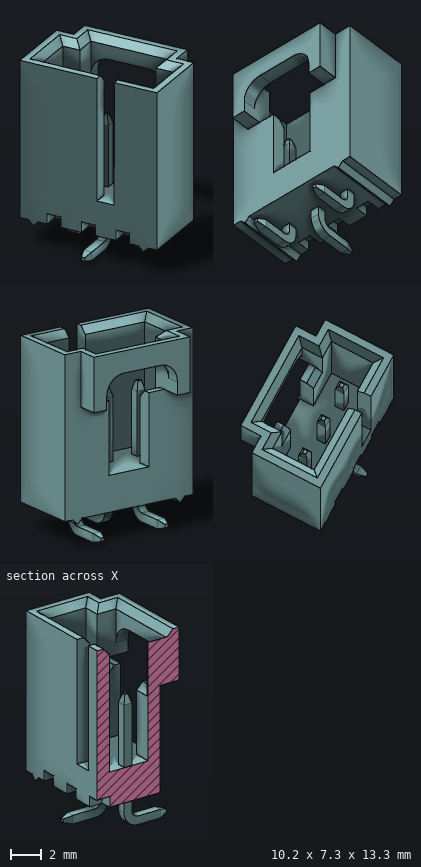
import cadquery as cq


total_height = 13.26
body_width = 10.16
pitch = body_width / 4
body_depth = 2 * pitch
body_bottom = 1.83
floor_top = body_bottom + pitch
wall = 1.01
lead_in = wall / 2
body_front = -body_depth / 2
body_back = body_depth / 2

key_width = 3 * pitch
key_depth = 1.5
key_height = 1.5 * pitch
key_bottom = total_height - key_height
key_back = body_back + key_depth
key_inner_width = key_width - 2 * wall
key_window_top = total_height - 1.52
key_window_radius = 1.38

slot_width = pitch / 2
slot_center = pitch / 2
back_window_width = 3.15

notch_width = 1.01
notch_height = 0.75
notch_depth = 1.01
ridge_height = 0.37
ridge_x = body_width / 2 - wall

pin_size = 0.64
pin_tip_size = 0.27
pin_taper = 0.64
pin_top = key_bottom
total_depth = 7.3
tail_reach = 3.22
pin_row_y = key_back - total_depth + tail_reach
bend_inner_radius = 0.5
bend_radius = bend_inner_radius + pin_size / 2
pin_positions = [(-pitch, 1), (0, -1), (pitch, 1)]


def box(width, y_start, y_end, z_start, z_end, x_center=0):
    """Block centred on x_center, given by its Y and Z limits."""
    return (
        cq.Workplane("XY")
        .box(width, y_end - y_start, z_end - z_start, centered=(True, False, False))
        .translate((x_center, y_start, z_start))
    )


def make_bevelled_pocket(width, y_start, y_end, z_bottom):
    """Rectangular pocket from z_bottom to the top, flared at 45 degrees to the rim."""
    pocket = box(width, y_start, y_end, z_bottom, total_height)
    flare = (
        cq.Workplane("XY", origin=(0, (y_start + y_end) / 2, total_height))
        .rect(width + 2 * lead_in, y_end - y_start + 2 * lead_in)
        .extrude(-lead_in, taper=45)
    )
    return pocket.union(flare)


def make_cavity():
    """Main pocket joined to the pocket inside the key."""
    main_width = body_width - 2 * wall
    main = make_bevelled_pocket(main_width, body_front + wall, body_back - wall, floor_top)
    key = make_bevelled_pocket(key_inner_width, 0, key_back - wall, key_bottom)
    return main.union(key)


def make_key_window():
    """Opening through the key's back wall, with its two upper corners rounded."""
    return (
        box(key_inner_width, key_back - wall, key_back, key_bottom, key_window_top)
        .edges("|Y and >Z")
        .fillet(key_window_radius)
    )


def make_back_wall_bevel():
    """Bevel on the inner edge of the back wall where it stops at the key's lower end."""
    inner_face = body_back - wall
    return (
        cq.Workplane("YZ")
        .polyline([
            (inner_face, key_bottom - lead_in),
            (inner_face + lead_in, key_bottom),
            (inner_face, key_bottom),
        ])
        .close()
        .extrude(key_inner_width / 2, both=True)
    )


def make_ridge(x):
    """V-shaped foot running the full depth of the underside."""
    return (
        cq.Workplane("XZ", origin=(x, body_back, body_bottom))
        .polyline([(-ridge_height, 0), (0, -ridge_height), (ridge_height, 0)])
        .close()
        .extrude(body_depth)
    )


def make_housing():
    housing = box(body_width, body_front, body_back, body_bottom, total_height)
    housing = housing.union(box(key_width, body_back, key_back, key_bottom, total_height))
    housing = housing.cut(make_cavity())
    housing = housing.cut(make_key_window())
    housing = housing.cut(make_back_wall_bevel())
    housing = housing.cut(
        box(slot_width, body_front, body_front + wall, floor_top, total_height, slot_center)
    )
    housing = housing.cut(box(back_window_width, body_back - wall, body_back, floor_top, key_bottom))
    for x, _ in pin_positions:
        housing = housing.cut(
            box(notch_width, body_front, body_front + notch_depth,
                body_bottom, body_bottom + notch_height, x)
        )
    for x in (-ridge_x, ridge_x):
        housing = housing.union(make_ridge(x))
    return housing


def make_tip(base_plane):
    """Four-sided taper that ends a pin, standing on base_plane."""
    return (
        cq.Workplane(base_plane)
        .rect(pin_size, pin_size)
        .workplane(offset=pin_taper)
        .rect(pin_tip_size, pin_tip_size)
        .loft()
    )


def make_pin(x, side):
    """Square pin, bent below the housing into a tail that points to the given side in Y."""
    shank_top = pin_top - pin_taper
    tail_z = pin_size / 2
    tail_end = side * (tail_reach - pin_taper)
    shank_bottom = tail_z + bend_radius

    shank = box(pin_size, -pin_size / 2, pin_size / 2, shank_bottom, shank_top)
    bend = (
        cq.Workplane("XY", origin=(0, 0, shank_bottom))
        .rect(pin_size, pin_size)
        .revolve(90, (0, side * bend_radius), (side, side * bend_radius))
    )
    tail_limits = sorted((side * bend_radius, tail_end))
    tail = box(pin_size, *tail_limits, 0, pin_size)
    top_tip = make_tip(cq.Plane((0, 0, shank_top)))
    tail_tip = make_tip(cq.Plane((0, tail_end, tail_z), xDir=(1, 0, 0), normal=(0, side, 0)))
    return shank.union(bend).union(tail).union(top_tip).union(tail_tip).translate((x, pin_row_y, 0))


result = make_housing()
for pin_x, tail_side in pin_positions:
    result = result.union(make_pin(pin_x, tail_side))